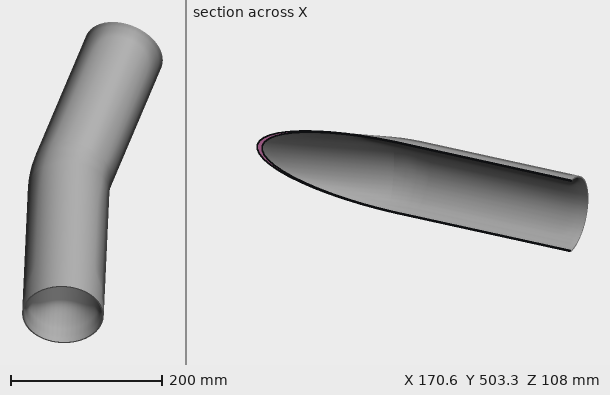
import cadquery as cq
import math

outer_diameter = 108.0
inner_diameter = 104.0
leg_length = 231.0
bend_radius = 136
bend_angle = 15


def bend_point(angle_degrees):
    """Point on the elbow centreline after turning through the given angle."""
    angle = math.radians(angle_degrees)
    x = bend_radius * (1 - math.cos(angle))
    y = -leg_length - bend_radius * math.sin(angle)
    return (x, y)


bend_start = bend_point(0)
bend_middle = bend_point(bend_angle / 2)
bend_end = bend_point(bend_angle)
turn = math.radians(bend_angle)
free_end = (
    bend_end[0] + leg_length * math.sin(turn),
    bend_end[1] - leg_length * math.cos(turn),
)
centreline = (
    cq.Workplane("XY")
    .moveTo(0, 0)
    .lineTo(*bend_start)
    .threePointArc(bend_middle, bend_end)
    .lineTo(*free_end)
)

result = (
    cq.Workplane("XZ")
    .circle(outer_diameter / 2)
    .circle(inner_diameter / 2)
    .sweep(centreline)
)